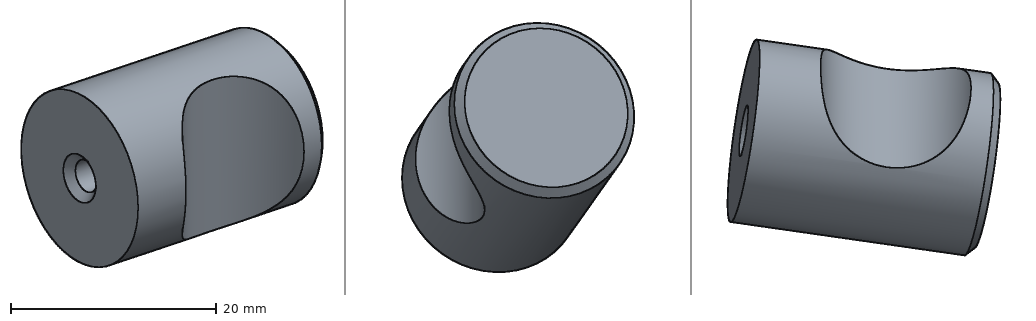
import cadquery as cq
import math

body_diameter = 18.0
body_length = 24.0
end_chamfer = 0.85

scallop_radius = 8.05
scallop_depth = 5.02
scallop_center_y = 13.5

hole_diameter = 3.3
hole_depth = 12.0
countersink_diameter = 5.0
drill_tip_angle = 118.0

body_radius = body_diameter / 2
hole_radius = hole_diameter / 2
countersink_radius = countersink_diameter / 2


def make_body():
    """Cylinder with a chamfered far end."""
    body = cq.Workplane("XZ").circle(body_radius).extrude(-body_length)
    return body.faces(">Y").chamfer(end_chamfer)


def make_scallop():
    """Cylinder whose side reaches scallop_depth into the body."""
    center_x = body_radius - scallop_depth + scallop_radius
    return (
        cq.Workplane("XY")
        .center(center_x, scallop_center_y)
        .circle(scallop_radius)
        .extrude(body_radius, both=True)
    )


def make_hole():
    """Hole with a 45 degree countersink and a conical drill tip."""
    countersink_depth = countersink_radius - hole_radius
    tip_length = hole_radius / math.tan(math.radians(drill_tip_angle / 2))
    profile = [
        (0, 0),
        (countersink_radius, 0),
        (hole_radius, countersink_depth),
        (hole_radius, hole_depth),
        (0, hole_depth + tip_length),
    ]
    return cq.Workplane("XY").polyline(profile).close().revolve(360, (0, 0), (0, 1))


result = make_body().cut(make_scallop()).cut(make_hole())